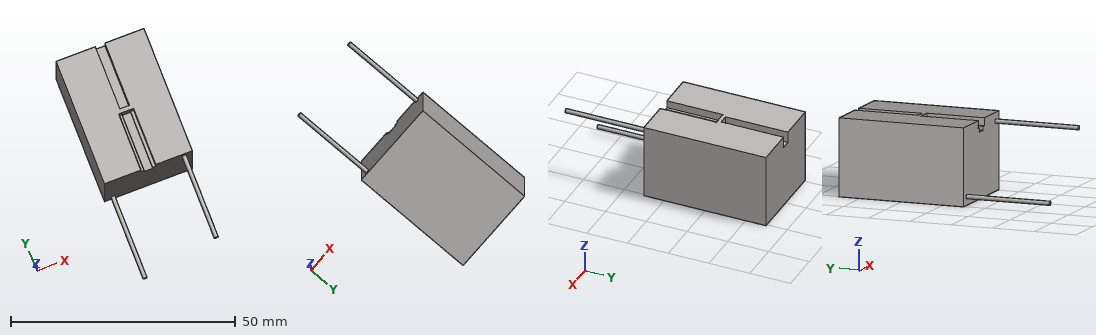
import cadquery as cq

BODY_WIDTH = 21.0
BODY_LENGTH = 30.0
BODY_HEIGHT = 18.0
TOP = BODY_HEIGHT / 2

PIN_DIAMETER = 1.0
PIN_LENGTH = 20.0
PIN_X = BODY_WIDTH / 2 - 2.0
PIN_Z = BODY_HEIGHT / 2 - 2.0

FRONT_SLOT_LENGTH = 13.75
UPPER_WIDTH = 3.5
UPPER_DEPTH = 1.8
LOWER_WIDTH = 2.0
LOWER_DEPTH = 2.7

DIVIDING_WALL = 1.0
REAR_SLOT_START = FRONT_SLOT_LENGTH + DIVIDING_WALL
REAR_SLOT_LENGTH = BODY_LENGTH - REAR_SLOT_START
REAR_SLOT_WIDTH = 2.3
REAR_SLOT_DEPTH = 2.7


def top_slot(width, depth, start, length):
    """Cutter for a rectangular slot sunk into the top face, running along Y."""
    return (
        cq.Workplane("XY")
        .box(width, length, depth, centered=(True, False, False))
        .translate((0, start, TOP - depth))
    )


def pins():
    """Both pins, projecting from the front face toward -Y."""
    return (
        cq.Workplane("XZ")
        .pushPoints([(PIN_X, PIN_Z), (-PIN_X, -PIN_Z)])
        .circle(PIN_DIAMETER / 2)
        .extrude(PIN_LENGTH)
    )


body = cq.Workplane("XY").box(BODY_WIDTH, BODY_LENGTH, BODY_HEIGHT, centered=(True, False, True))
body = body.cut(top_slot(UPPER_WIDTH, UPPER_DEPTH, 0, FRONT_SLOT_LENGTH))
body = body.cut(top_slot(LOWER_WIDTH, LOWER_DEPTH, 0, FRONT_SLOT_LENGTH))
body = body.cut(top_slot(REAR_SLOT_WIDTH, REAR_SLOT_DEPTH, REAR_SLOT_START, REAR_SLOT_LENGTH))

result = body.union(pins())